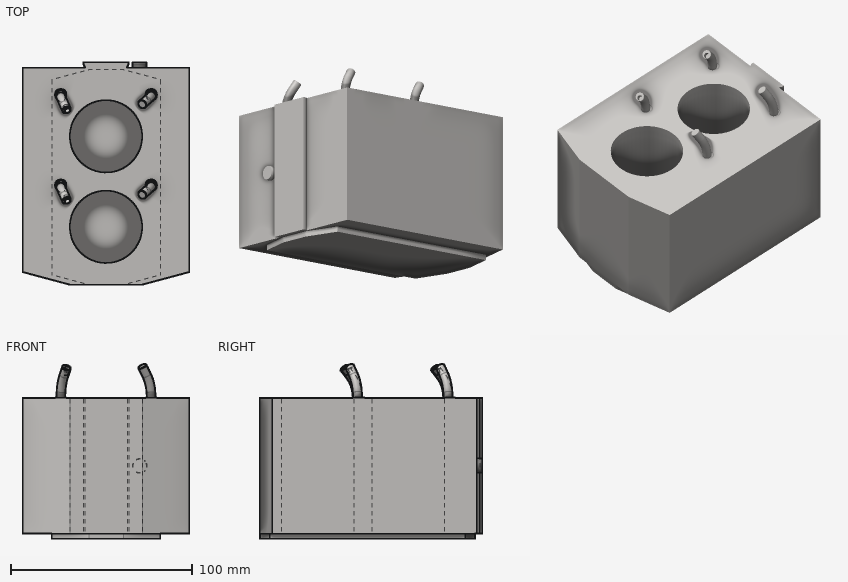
import cadquery as cq
import math

BODY_WIDTH = 92.0
BODY_DEPTH = 120.0
BODY_HEIGHT = 75.0
FACET_ANGLE = 15.0
FRONT_FLAT = 40.0

POCKET_DIAMETER = 40.0
FIRST_POCKET_Y = -38.0
STATION_PITCH = 50.0
STATION_COUNT = 2

PLATE_WIDTH = 60.0
PLATE_THICKNESS = 3.0
PLATE_FLAT = 18.8
PLATE_BACK_GAP = 1.0
PLATE_FRONT_GAP = 0.1

RAIL_WIDTH = 25.0
RAIL_NECK = 23.3
RAIL_DEPTH = 3.0
RAIL_LIP = 1.3

PIN_DIAMETER = 8.0
PIN_LENGTH = RAIL_DEPTH
PIN_X = 18.5
PIN_Z = BODY_HEIGHT / 2
PIN_TAPER_LENGTH = 0.9
PIN_TAPER_INSET = 0.25

CABLE_DIAMETER = 5.0
CABLE_X = 25.0
COLLAR_Y = -15.0
COLLAR_DIAMETER = 6.37
COLLAR_HEIGHT = 0.4
CABLE_ROOT_DEPTH = 1.0
CABLE_STUB = 3.4
TIP_CHAMFER = 0.25

LEFT_ROOT_Y = -16.1
LEFT_HEADING = -66.0
LEFT_START_TILT = 7.0
LEFT_END_TILT = 41.0
LEFT_BEND_CHORD = 10.1
LEFT_TIP_LENGTH = 5.5
BORE_DIAMETER = 3.0
BORE_DEPTH = 4.0
BORE_DROP = 0.55
BORE_SIDE_SHIFT = 0.25

RIGHT_ROOT_Y = -15.8
RIGHT_HEADING = -138.0
RIGHT_START_TILT = 5.0
RIGHT_END_TILT = 34.0
RIGHT_BEND_CHORD = 9.9
RIGHT_TIP_LENGTH = 5.7


def facet_drop(width, flat):
    """Depth taken by facets running from a central flat out to the full width."""
    return (width - flat) / 2 * math.tan(math.radians(FACET_ANGLE))


def make_body():
    half = BODY_WIDTH / 2
    half_flat = FRONT_FLAT / 2
    shoulder_y = -BODY_DEPTH + facet_drop(BODY_WIDTH, FRONT_FLAT)
    outline = [
        (-half, 0),
        (half, 0),
        (half, shoulder_y),
        (half_flat, -BODY_DEPTH),
        (-half_flat, -BODY_DEPTH),
        (-half, shoulder_y),
    ]
    return cq.Workplane("XY").polyline(outline).close().extrude(BODY_HEIGHT)


def make_plate():
    half = PLATE_WIDTH / 2
    half_flat = PLATE_FLAT / 2
    drop = facet_drop(PLATE_WIDTH, PLATE_FLAT)
    back = -PLATE_BACK_GAP
    front = -BODY_DEPTH + PLATE_FRONT_GAP
    outline = [
        (-half_flat, back),
        (half_flat, back),
        (half, back - drop),
        (half, front + drop),
        (half_flat, front),
        (-half_flat, front),
        (-half, front + drop),
        (-half, back - drop),
    ]
    return cq.Workplane("XY").polyline(outline).close().extrude(-PLATE_THICKNESS)


def make_rail():
    half = RAIL_WIDTH / 2
    half_neck = RAIL_NECK / 2
    lip_y = RAIL_DEPTH - RAIL_LIP
    outline = [
        (-half_neck, 0),
        (-half, lip_y),
        (-half, RAIL_DEPTH),
        (half, RAIL_DEPTH),
        (half, lip_y),
        (half_neck, 0),
    ]
    return cq.Workplane("XY").polyline(outline).close().extrude(BODY_HEIGHT)


def make_pin():
    radius = PIN_DIAMETER / 2
    profile = [
        (0, 0),
        (radius, 0),
        (radius, PIN_LENGTH - PIN_TAPER_LENGTH),
        (radius - PIN_TAPER_INSET, PIN_LENGTH),
        (0, PIN_LENGTH),
    ]
    pin = cq.Workplane("XY").polyline(profile).close().revolve(360, (0, 0, 0), (0, 1, 0))
    return pin.translate((PIN_X, 0, PIN_Z))


def make_collar(x, y):
    base = cq.Workplane("XY").circle(COLLAR_DIAMETER / 2)
    collar = base.workplane(offset=COLLAR_HEIGHT).circle(CABLE_DIAMETER / 2).loft()
    return collar.translate((x, y, BODY_HEIGHT))


def lean_direction(heading, tilt):
    """Unit vector leaning by tilt from vertical, toward a heading measured from +X."""
    level = math.radians(heading)
    lean = math.radians(tilt)
    return cq.Vector(
        math.sin(lean) * math.cos(level),
        math.sin(lean) * math.sin(level),
        math.cos(lean),
    )


def make_cable(root, heading, start_tilt, end_tilt, bend_chord, tip_length):
    """Solid cable in a vertical plane: tilted stub, bend and straight tip. Also returns the tip centre."""
    start = lean_direction(heading, start_tilt)
    chord = lean_direction(heading, (start_tilt + end_tilt) / 2)
    end = lean_direction(heading, end_tilt)
    foot = root - start * CABLE_ROOT_DEPTH
    bend_start = root + start * CABLE_STUB
    bend_end = bend_start + chord * bend_chord
    tip = bend_end + end * tip_length

    path = cq.Wire.assembleEdges([
        cq.Edge.makeLine(foot, bend_start),
        cq.Edge.makeTangentArc(bend_start, start, bend_end),
    ])
    section = cq.Workplane(cq.Plane(origin=foot, normal=start)).circle(CABLE_DIAMETER / 2)
    bent_length = section.sweep(cq.Workplane(obj=path))

    tip_plane = cq.Plane(origin=bend_end, normal=end)
    straight_tip = cq.Workplane(tip_plane).circle(CABLE_DIAMETER / 2).extrude(tip_length)
    straight_tip = straight_tip.faces(cq.NearestToPointSelector(tip.toTuple())).chamfer(TIP_CHAMFER)
    return bent_length.union(straight_tip), tip


def make_left_cable(shift):
    """Cable with an off-centre bore in its tip."""
    root = cq.Vector(-CABLE_X, LEFT_ROOT_Y + shift, BODY_HEIGHT)
    cable, tip = make_cable(
        root, LEFT_HEADING, LEFT_START_TILT, LEFT_END_TILT, LEFT_BEND_CHORD, LEFT_TIP_LENGTH
    )
    axis = lean_direction(LEFT_HEADING, LEFT_END_TILT)
    tip_down = lean_direction(LEFT_HEADING, LEFT_END_TILT + 90)
    tip_side = axis.cross(tip_down)
    mouth = tip + tip_down * BORE_DROP + tip_side * BORE_SIDE_SHIFT
    bore = cq.Solid.makeCylinder(BORE_DIAMETER / 2, BORE_DEPTH, mouth, -axis)
    return cable.cut(cq.Workplane(obj=bore))


def make_right_cable(shift):
    """Cable with a plain solid tip."""
    root = cq.Vector(CABLE_X, RIGHT_ROOT_Y + shift, BODY_HEIGHT)
    cable, _ = make_cable(
        root, RIGHT_HEADING, RIGHT_START_TILT, RIGHT_END_TILT, RIGHT_BEND_CHORD, RIGHT_TIP_LENGTH
    )
    return cable


def make_pocket(shift):
    circle = cq.Workplane("XY").center(0, FIRST_POCKET_Y + shift).circle(POCKET_DIAMETER / 2)
    return circle.extrude(BODY_HEIGHT)


result = make_body().union(make_plate()).union(make_rail()).union(make_pin())

for station in range(STATION_COUNT):
    shift = -station * STATION_PITCH
    result = result.cut(make_pocket(shift))
    for x, cable in ((-CABLE_X, make_left_cable(shift)), (CABLE_X, make_right_cable(shift))):
        result = result.union(make_collar(x, COLLAR_Y + shift)).union(cable)